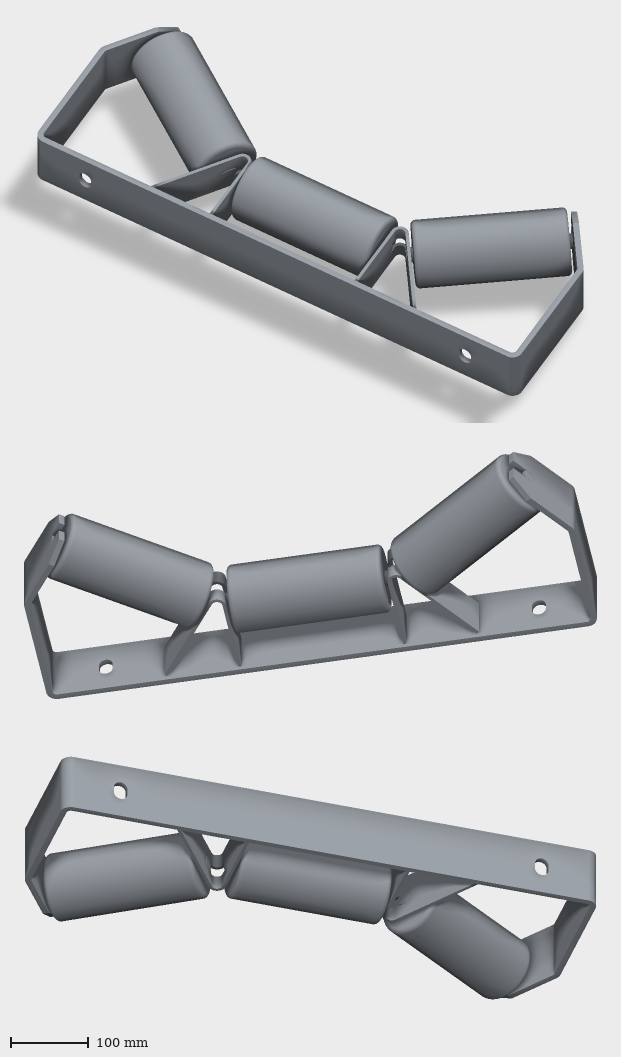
import cadquery as cq
import math

frame_length = 720.0
strip_height = 80.0
trough_angle = 35.0
forward_tilt = 1.9

frame_thickness = 8.0
frame_bend_radius = 14.0
wing_bend_y = 167.0
wing_length = 105.0
wing_taper_length = 32.0
wing_taper_depth = 16.5
mount_hole_spacing = 567.0
mount_hole_width = 18.0
mount_hole_height = 26.0

roller_diameter = 88.5
roller_length = 201.5
roller_edge_radius = 6.0
shaft_diameter = 20.0
shaft_length = 220.0
shaft_flat_width = 14.5
shaft_flat_length = 6.0
slot_overrun = 7.0
middle_roller_y = 101.5
side_roller_depth = 113.0
side_roller_offset = 75.5

bracket_thickness = 4.0
bracket_height = 53.0
bracket_bend_radius = 11.5
bracket_face_x = 106.0
bracket_ridge_y = 129.0
bracket_gap = 1.0

angle = math.radians(trough_angle)
mid_height = strip_height / 2
half_length = frame_length / 2
wing_start_x = -half_length + frame_bend_radius * (1 - math.cos(angle))
wing_start_y = wing_bend_y + frame_bend_radius * math.sin(angle)
side_roller_x = wing_start_x + side_roller_depth * math.cos(angle) + side_roller_offset * math.sin(angle)
side_roller_y = wing_start_y - side_roller_depth * math.sin(angle) + side_roller_offset * math.cos(angle)
inner_end_drop = side_roller_depth * math.tan(math.radians(forward_tilt))
side_roller_z = mid_height - inner_end_drop
middle_roller_z = mid_height - 2 * inner_end_drop


def on_side_axis(body):
    """Move a body lying along X at the origin onto the left side roller's axis."""
    tilted = body.rotate((0, 0, 0), (0, 1, 0), forward_tilt)
    swung = tilted.rotate((0, 0, 0), (0, 0, 1), -trough_angle)
    return swung.translate((side_roller_x, side_roller_y, side_roller_z))


def on_middle_axis(body):
    return body.translate((0, middle_roller_y, middle_roller_z))


def centered_plane(length):
    """Plane across X at the start of a body of the given length centred on the origin."""
    return cq.Workplane("YZ", origin=(-length / 2, 0, 0))


def make_roller(shaft_reach):
    """Roller along X, centred on the origin; its shaft, flat at both ends, starts at X = -shaft_reach."""
    neck_length = shaft_length - 2 * shaft_flat_length
    shell = centered_plane(roller_length).circle(roller_diameter / 2).extrude(roller_length)
    shell = shell.edges().fillet(roller_edge_radius)
    neck = centered_plane(neck_length).circle(shaft_diameter / 2).extrude(neck_length)
    flats = (
        cq.Workplane("YZ", origin=(-shaft_reach, 0, 0))
        .slot2D(shaft_diameter, shaft_flat_width)
        .extrude(shaft_reach + shaft_length / 2)
    )
    return shell.union(neck).union(flats)


def make_shaft_slots(reach):
    """Cutter for the slots at both ends of a roller's shaft, running from its seats towards +Y."""
    length = shaft_length + 2 * slot_overrun
    seat = centered_plane(length).slot2D(shaft_diameter, shaft_flat_width).extrude(length)
    mouth = cq.Workplane("XY").box(length, reach, shaft_flat_width, centered=(True, False, True))
    return seat.union(mouth)


def make_wing_tapers():
    """Wedges that narrow the wing's free end, above and below."""
    end = wing_length
    start = wing_length - wing_taper_length
    upper = (
        cq.Workplane("YZ")
        .moveTo(start, strip_height)
        .lineTo(end, strip_height)
        .lineTo(end, strip_height - wing_taper_depth)
        .close()
        .extrude(2 * frame_thickness, both=True)
    )
    wedges = upper.union(upper.mirror("XY", (0, 0, mid_height)))
    return wedges.rotate((0, 0, 0), (0, 0, 1), -trough_angle).translate((wing_start_x, wing_start_y, 0))


def arc_point(center, radius, degrees):
    turn = math.radians(degrees)
    return (center[0] + radius * math.cos(turn), center[1] + radius * math.sin(turn))


def make_frame():
    """Strip bent into a trough: front wall, two side walls and two sloping wings."""
    outer = frame_bend_radius
    inner = frame_bend_radius - frame_thickness
    corner = (-half_length + outer, outer)
    bend = (-half_length + outer, wing_bend_y)
    wing_end = 180 - trough_angle
    run = (wing_length * math.sin(angle), wing_length * math.cos(angle))
    outer_start = arc_point(bend, outer, wing_end)
    inner_start = arc_point(bend, inner, wing_end)
    left_half = (
        cq.Workplane("XY")
        .moveTo(0, 0)
        .lineTo(corner[0], 0)
        .threePointArc(arc_point(corner, outer, 225), arc_point(corner, outer, 180))
        .lineTo(*arc_point(bend, outer, 180))
        .threePointArc(arc_point(bend, outer, 180 - trough_angle / 2), outer_start)
        .lineTo(outer_start[0] + run[0], outer_start[1] + run[1])
        .lineTo(inner_start[0] + run[0], inner_start[1] + run[1])
        .lineTo(*inner_start)
        .threePointArc(arc_point(bend, inner, 180 - trough_angle / 2), arc_point(bend, inner, 180))
        .lineTo(*arc_point(corner, inner, 180))
        .threePointArc(arc_point(corner, inner, 225), arc_point(corner, inner, 270))
        .lineTo(0, frame_thickness)
        .close()
        .extrude(strip_height)
    )
    mount_hole = (
        cq.Workplane("XZ", origin=(-mount_hole_spacing / 2, 0, mid_height))
        .slot2D(mount_hole_height, mount_hole_width, 90)
        .extrude(2 * frame_thickness, both=True)
    )
    wing_slot = on_side_axis(make_shaft_slots(wing_length))
    left_half = left_half.cut(make_wing_tapers()).cut(wing_slot).cut(mount_hole)
    return left_half.union(left_half.mirror("YZ"))


def make_bracket():
    """Left bracket: an upright leg on the frame, a round ridge and a sloping leg."""
    outer = bracket_bend_radius
    inner = bracket_bend_radius - bracket_thickness
    center = (-bracket_face_x - outer, bracket_ridge_y - outer)
    slope = 180 - trough_angle
    outer_start = arc_point(center, outer, slope)
    inner_start = arc_point(center, inner, slope)
    drop = inner_start[1] - frame_thickness - bracket_gap
    run = (-drop * math.tan(angle), -drop)
    bracket = (
        cq.Workplane("XY", origin=(0, 0, middle_roller_z - bracket_height / 2))
        .moveTo(-bracket_face_x, frame_thickness)
        .lineTo(-bracket_face_x, center[1])
        .threePointArc(arc_point(center, outer, slope / 2), outer_start)
        .lineTo(outer_start[0] + run[0], outer_start[1] + run[1])
        .lineTo(inner_start[0] + run[0], inner_start[1] + run[1])
        .lineTo(*inner_start)
        .threePointArc(arc_point(center, inner, slope / 2), arc_point(center, inner, 0))
        .lineTo(-bracket_face_x - bracket_thickness, frame_thickness)
        .close()
        .extrude(bracket_height)
    )
    ridge_gap = cq.Workplane("XY", origin=(center[0], center[1], middle_roller_z)).box(
        2 * outer, 2 * outer, shaft_flat_width, centered=(True, False, True)
    )
    shaft_slots = make_shaft_slots(bracket_ridge_y - middle_roller_y)
    return bracket.cut(ridge_gap).cut(on_side_axis(shaft_slots)).cut(on_middle_axis(shaft_slots))


def left_and_right(left_body):
    return [left_body.val(), left_body.mirror("YZ").val()]


frame = make_frame()
brackets = left_and_right(make_bracket())
side_rollers = left_and_right(on_side_axis(make_roller(side_roller_depth)))
middle_roller = on_middle_axis(make_roller(shaft_length / 2))

result = cq.Compound.makeCompound([frame.val(), *brackets, *side_rollers, middle_roller.val()])